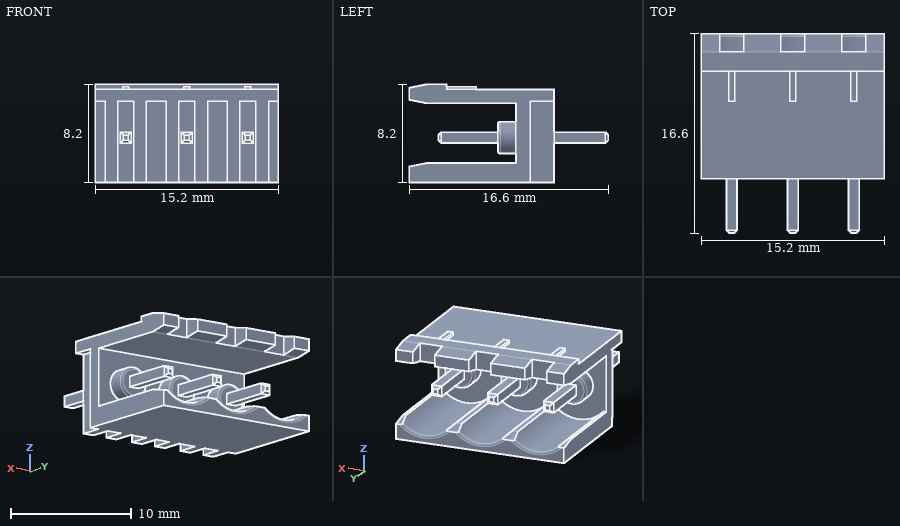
import cadquery as cq


way_count = 3
pitch = 5.08
pin_axis_z = 3.75
pin_xs = [(way - (way_count - 1) / 2) * pitch for way in range(way_count)]

width = way_count * pitch
depth = 12.08
height = 8.2
overall_length = 16.6
lip_step = 0.43
roof_top = height - lip_step

cavity_floor_y = 3.19
lower_arm_top = 1.65
upper_arm_bottom = 6.59
lip_front_y = 8.96
lead_in_length = 1.5
lead_in_drop = 0.3
lead_in_y = depth - lead_in_length

groove_depth = 2.01
groove_top = 6.75
pin_groove_width = 1.33
gap_groove_width = 1.63

notch_width = 2.0
scallop_radius = 3.1
scallop_flare = 0.2

mark_width = 0.5
mark_height = 0.23
mark_length = 2.49

pin_size = 0.91
pin_front_y = depth - overall_length
pin_back_y = 9.66
pin_taper = 0.25
pin_tip_inset = 0.25
collar_diameter = 2.65
collar_end_y = 4.7
collar_rounding = 0.2


def box(x_center, x_size, y_min, y_max, z_min, z_max):
    """Box centred on x_center, given by its limits in Y and Z."""
    block = cq.Workplane("XY").box(x_size, y_max - y_min, z_max - z_min, centered=(True, False, False))
    return block.translate((x_center, y_min, z_min))


def make_housing():
    """Side profile of the housing, extruded over its full width."""
    profile = [
        (0, 0),
        (depth, 0),
        (depth, lower_arm_top - lead_in_drop),
        (lead_in_y, lower_arm_top),
        (cavity_floor_y, lower_arm_top),
        (cavity_floor_y, upper_arm_bottom),
        (lead_in_y, upper_arm_bottom),
        (depth, upper_arm_bottom + lead_in_drop),
        (depth, height - lead_in_drop),
        (lead_in_y, height),
        (lip_front_y, height),
        (lip_front_y, roof_top),
        (0, roof_top),
    ]
    return cq.Workplane("YZ").polyline(profile).close().extrude(width / 2, both=True)


def make_groove(x, groove_width):
    """Vertical front groove, open at the underside."""
    return box(x, groove_width, 0, groove_depth, 0, groove_top)


def make_notch(x):
    """Notch through the tapered tip of the upper arm."""
    return box(x, notch_width, lead_in_y, depth, upper_arm_bottom, height)


def make_scallop(x):
    """Round trough about the pin axis in the lower arm, flared at the back with a rounded edge."""
    flare_start_y = depth - scallop_flare
    flare_radius = scallop_radius + scallop_flare
    flare_mid_offset = scallop_flare * 0.5 ** 0.5
    trough = (
        cq.Workplane("XY")
        .moveTo(0, cavity_floor_y)
        .lineTo(scallop_radius, cavity_floor_y)
        .lineTo(scallop_radius, flare_start_y)
        .threePointArc((flare_radius - flare_mid_offset, flare_start_y + flare_mid_offset), (flare_radius, depth))
        .lineTo(0, depth)
        .close()
        .revolve(360, (0, 0, 0), (0, 1, 0))
        .translate((x, 0, pin_axis_z))
    )
    lower_half = box(x, 2 * flare_radius, cavity_floor_y, depth, 0, pin_axis_z)
    return trough.intersect(lower_half)


def make_mark(x):
    """Raised bar on the roof, running forward from the lip."""
    return box(x, mark_width, lip_front_y - mark_length, lip_front_y, roof_top, roof_top + mark_height)


def make_pin_taper(x, base_y, tip_y):
    """Pyramid frustum closing one end of a pin."""
    tip_size = pin_size - 2 * pin_tip_inset
    return (
        cq.Workplane("XZ", origin=(x, base_y, pin_axis_z))
        .rect(pin_size, pin_size)
        .workplane(offset=base_y - tip_y)
        .rect(tip_size, tip_size)
        .loft(ruled=True)
    )


def make_pin(x):
    """Square pin with tapered ends."""
    front_base_y = pin_front_y + pin_taper
    back_base_y = pin_back_y - pin_taper
    half_size = pin_size / 2
    shaft = box(x, pin_size, front_base_y, back_base_y, pin_axis_z - half_size, pin_axis_z + half_size)
    front_taper = make_pin_taper(x, front_base_y, pin_front_y)
    back_taper = make_pin_taper(x, back_base_y, pin_back_y)
    return shaft.union(front_taper).union(back_taper)


def make_collar(x):
    """Round collar around a pin on the cavity floor, with a rounded rim."""
    return (
        cq.Workplane("XZ", origin=(x, cavity_floor_y, pin_axis_z))
        .circle(collar_diameter / 2)
        .extrude(cavity_floor_y - collar_end_y)
        .faces(">Y")
        .fillet(collar_rounding)
    )


result = make_housing()

for gap in range(way_count + 1):
    gap_x = gap * pitch - width / 2
    result = result.cut(make_groove(gap_x, gap_groove_width))

for pin_x in pin_xs:
    result = result.cut(make_groove(pin_x, pin_groove_width))
    result = result.cut(make_notch(pin_x))
    result = result.cut(make_scallop(pin_x))

for pin_x in pin_xs:
    result = result.union(make_mark(pin_x))
    result = result.union(make_collar(pin_x))
    result = result.union(make_pin(pin_x))